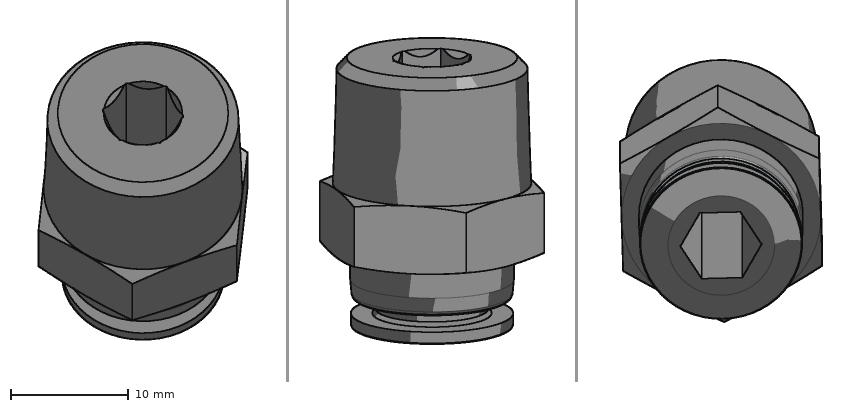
import cadquery as cq
import math

total_height = 23.9
flange_top = 1.5
collar_bottom = 2.87
collar_step = 4.52
hex_bottom = 6.95
hex_top = 12.9

flange_diameter = 13.86
flange_face_diameter = 9.08
flange_cone_height = 0.43
flange_edge_height = 0.1
flange_edge_width = 0.07
neck_diameter = 9.6
neck_flare_height = 0.38
neck_flare_width = 0.29

collar_diameter = 14.0
collar_lower_diameter = 13.8
collar_edge_height = 0.29
collar_edge_width = 0.12
collar_bevel_height = 0.15
collar_bevel_width = 0.22

hex_across_flats = 17.0
hex_corner_diameter = hex_across_flats / math.cos(math.radians(30))
hex_chamfer_angle = 15.0

thread_base_diameter = 16.95
thread_taper = 1 / 16
thread_chamfer_height = 0.93
thread_face_diameter = 14.53

socket_across_flats = 6.0
socket_corner_diameter = socket_across_flats / math.cos(math.radians(30))
entry_diameter = 6.7
entry_half_angle = 30.0


def revolve(profile):
    """Revolve a closed (radius, height) outline about the Z axis."""
    return cq.Workplane("XZ").polyline(profile).close().revolve(360, (0, 0, 0), (0, 1, 0))


def make_lower_body():
    flange_radius = flange_diameter / 2
    neck_radius = neck_diameter / 2
    lower_radius = collar_lower_diameter / 2
    edge_radius = lower_radius - collar_edge_width
    collar_radius = collar_diameter / 2
    bevel_top = collar_bottom + collar_bevel_height
    return revolve([
        (0, 0),
        (flange_face_diameter / 2, 0),
        (flange_radius - flange_edge_width, flange_cone_height),
        (flange_radius, flange_cone_height + flange_edge_height),
        (flange_radius, flange_top),
        (neck_radius + neck_flare_width, flange_top),
        (neck_radius, flange_top + neck_flare_height),
        (neck_radius, collar_bottom),
        (edge_radius - collar_bevel_width, collar_bottom),
        (edge_radius, bevel_top),
        (lower_radius, bevel_top + collar_edge_height),
        (collar_radius, collar_step),
        (collar_radius, hex_bottom),
        (0, hex_bottom),
    ])


def make_wrench_hexagon():
    flat_radius = hex_across_flats / 2
    corner_radius = hex_corner_diameter / 2
    chamfer_height = (corner_radius - flat_radius) * math.tan(math.radians(hex_chamfer_angle))
    prism = (
        cq.Workplane("XY", origin=(0, 0, hex_bottom))
        .polygon(6, hex_corner_diameter)
        .extrude(hex_top - hex_bottom)
    )
    chamfer_envelope = revolve([
        (0, hex_bottom),
        (flat_radius, hex_bottom),
        (corner_radius, hex_bottom + chamfer_height),
        (corner_radius, hex_top - chamfer_height),
        (flat_radius, hex_top),
        (0, hex_top),
    ])
    return prism.intersect(chamfer_envelope)


def make_thread():
    chamfer_start = total_height - thread_chamfer_height
    thread_end_diameter = thread_base_diameter - thread_taper * (chamfer_start - hex_top)
    return revolve([
        (0, hex_top),
        (thread_base_diameter / 2, hex_top),
        (thread_end_diameter / 2, chamfer_start),
        (thread_face_diameter / 2, total_height),
        (0, total_height),
    ])


def make_passage():
    socket = (
        cq.Workplane("XY")
        .polygon(6, socket_corner_diameter)
        .extrude(total_height)
        .rotate((0, 0, 0), (0, 0, 1), 30)
    )
    entry_radius = entry_diameter / 2
    cone_depth = entry_radius / math.tan(math.radians(entry_half_angle))
    entry = revolve([
        (0, total_height - cone_depth),
        (entry_radius, total_height),
        (0, total_height),
    ])
    return socket.union(entry)


body = make_lower_body().union(make_wrench_hexagon()).union(make_thread())
result = body.cut(make_passage())